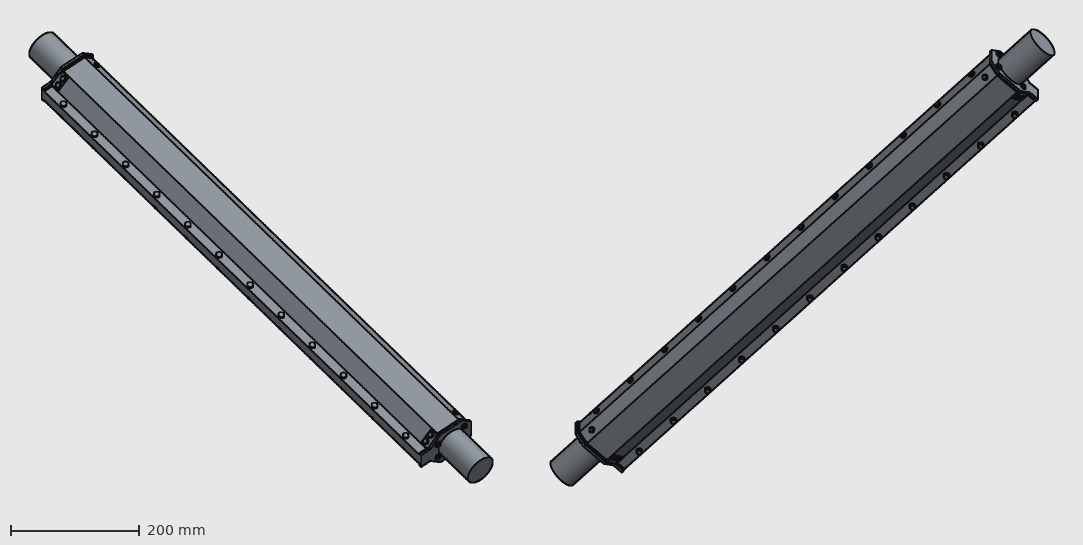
import cadquery as cq
import math

total_length = 1072
plate_span = 928.0

left_shaft_diameter = 53.0
right_shaft_diameter = 50.0

body_half_height = 31.0
body_back = 38.0
back_chamfer = 16.0
slope_top_y = -21.0
slope_foot_y = -44.0
flange_half_height = 12.0
flange_front = -60.0

plate_thickness = 4.0
plate_half_height = 35.0
plate_back = 41.0
plate_back_chamfer = 18.0
plate_foot_y = -42.0
plate_foot_half_height = 15.0
gasket_thickness = 2.0
gasket_margin = 2.0

screw_count = 12
screw_pitch = 76.0
screw_y = -54.0
head_diameter = 9.5
head_height = 3.0
nut_height = 3.0
stud_diameter = 7.6
stud_length = 6.0

plate_head_diameter = 11.0
plate_head_height = 3.0
plate_screws = [(26.0, 19.0), (-27.0, 16.0)]

chamfer_head_diameter = 9.0
chamfer_head_height = 3.0
chamfer_head_x = 438.0

tab_inner_x = 444.0
tab_thickness = 1.0
tab_edge_margin = 1.0
tab_head_diameter = 10.5
tab_head_height = 2.0
tab_head_x = 449.0
tab_head_spacing = 13.0

bevel = 1.6

plate_outer_x = plate_span / 2
plate_inner_x = plate_outer_x - plate_thickness
gasket_inner_x = plate_inner_x - gasket_thickness
back_head_height = plate_back - body_back


def cylinder(start, direction, diameter, height):
    return cq.Workplane(cq.Solid.makeCylinder(
        diameter / 2, height, cq.Vector(*start), cq.Vector(*direction)))


def beveled_head(start, direction, diameter, height):
    """Screw head with a beveled outer rim, standing on start."""
    outer_rim = cq.selectors.DirectionMinMaxSelector(cq.Vector(*direction))
    return cylinder(start, direction, diameter, height).faces(outer_rim).chamfer(bevel)


def prism(upper_half, x_start, length):
    """Extrude along X an outline given by its upper half and mirrored below Z = 0."""
    lower_half = [(y, -z) for y, z in reversed(upper_half)]
    return (cq.Workplane("YZ", origin=(x_start, 0, 0))
            .polyline(upper_half + lower_half).close().extrude(length))


def make_body():
    upper_half = [
        (body_back, body_half_height - back_chamfer),
        (body_back - back_chamfer, body_half_height),
        (slope_top_y, body_half_height),
        (slope_foot_y, flange_half_height),
        (flange_front, flange_half_height),
    ]
    return prism(upper_half, -plate_inner_x, 2 * plate_inner_x)


def section_outline(margin):
    """Upper half of the end plate outline, drawn in by the margin."""
    return [
        (plate_back - margin, plate_half_height - plate_back_chamfer),
        (plate_back - plate_back_chamfer, plate_half_height - margin),
        (slope_top_y, plate_half_height - margin),
        (plate_foot_y, plate_foot_half_height - margin),
        (flange_front, plate_foot_half_height - margin),
    ]


def make_end_plate(side):
    """End plate, its gasket and its screw heads; side is -1 or +1 along X."""
    plate = prism(section_outline(0), side * plate_inner_x, side * plate_thickness)
    gasket = prism(section_outline(gasket_margin), side * gasket_inner_x, side * gasket_thickness)
    end = plate.union(gasket)
    for y, z in plate_screws:
        for z_side in (-1, 1):
            start = (side * plate_inner_x, y, z_side * z)
            end = end.union(beveled_head(start, (side, 0, 0), plate_head_diameter,
                                         plate_thickness + plate_head_height))
    return end


def make_shaft(side, diameter):
    return cylinder((side * plate_inner_x, 0, 0), (side, 0, 0), diameter, total_length / 2 - plate_inner_x)


def make_row_screws(x):
    """Head above the flange, nut and stud end below it, and a head on the back of the tube."""
    head = cylinder((x, screw_y, 0), (0, 0, 1), head_diameter, flange_half_height + head_height)
    nut = cylinder((x, screw_y, 0), (0, 0, -1), head_diameter, flange_half_height + nut_height)
    stud = cylinder((x, screw_y, 0), (0, 0, -1), stud_diameter, flange_half_height + stud_length)
    back_start = (x, body_back - back_head_height, 0)
    back_head = cylinder(back_start, (0, 1, 0), head_diameter, 2 * back_head_height)
    return head.union(nut).union(stud).union(back_head)


def make_chamfer_head(x, z_side):
    """Head standing on the middle of a back chamfer, sunk by its own height."""
    normal = (0, math.sqrt(0.5), z_side * math.sqrt(0.5))
    sink = chamfer_head_height * math.sqrt(0.5)
    start = (x, body_back - back_chamfer / 2 - sink, z_side * (body_half_height - back_chamfer / 2 - sink))
    return beveled_head(start, normal, chamfer_head_diameter, 2 * chamfer_head_height)


def make_slope_tab(side):
    """Thin tab on the upper sloping face, running in from the end plate, with two screw heads."""
    run = slope_top_y - slope_foot_y
    rise = body_half_height - flange_half_height
    slope_length = math.hypot(run, rise)
    slope_plane = cq.Plane(
        origin=(0, (slope_top_y + slope_foot_y) / 2, (body_half_height + flange_half_height) / 2),
        xDir=(1, 0, 0), normal=(0, -rise, run))
    tab_outer_x = plate_outer_x - plate_thickness / 2
    tab = (cq.Workplane(slope_plane)
           .center(side * (tab_inner_x + tab_outer_x) / 2, 0)
           .rect(tab_outer_x - tab_inner_x, slope_length - 2 * tab_edge_margin)
           .extrude(tab_thickness))
    heads = (cq.Workplane(slope_plane)
             .center(side * tab_head_x, 0)
             .rarray(11, tab_head_spacing, 1, 2)
             .circle(tab_head_diameter / 2).extrude(tab_thickness + tab_head_height)
             .faces(cq.selectors.DirectionMinMaxSelector(slope_plane.zDir)).chamfer(bevel))
    return tab.union(heads)


result = make_body()
for index in range(screw_count):
    result = result.union(make_row_screws((index - (screw_count - 1) / 2) * screw_pitch))
for side, shaft_diameter in ((-1, left_shaft_diameter), (1, right_shaft_diameter)):
    result = result.union(make_end_plate(side))
    result = result.union(make_shaft(side, shaft_diameter))
    tab = make_slope_tab(side)
    result = result.union(tab).union(tab.mirror("XY"))
    for z_side in (-1, 1):
        result = result.union(make_chamfer_head(side * chamfer_head_x, z_side))